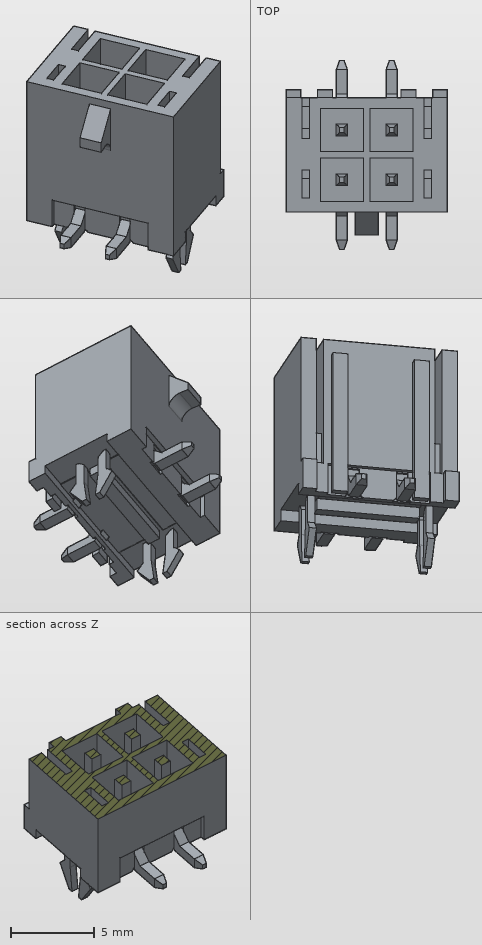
import cadquery as cq
import math

BODY_WIDTH = 9.7
BODY_DEPTH = 6.9
BODY_HEIGHT = 9.9
FRONT = -BODY_DEPTH / 2
BACK = BODY_DEPTH / 2

PITCH = 3.0
CAVITY_SIZE = 2.6
CAVITY_FLOOR = 3.0
PIN_WIDTH = 0.68
PIN_THICKNESS = 0.71
PIN_TOP = 7.5
PIN_REACH = 5.7
TIP_WIDTH = 0.28
TIP_THICKNESS = 0.33
TIP_LENGTH = 0.57
UPPER_BEND = 3.67
LOWER_BEND = 3.18

RECESS_WIDTH = 6.34
RECESS_HEIGHT = 1.9
RECESS_DEPTH = 0.31
CHANNEL_HEIGHT = 1.81
CHANNEL_DEPTH = 0.16
CHANNEL_CHAMFER = 0.2
CHANNEL_WIDTH = 0.71

FRONT_FOOT_INNER = -1.72
REAR_FOOT_INNER = 2.75
NOTCH_HEIGHT = 0.71
PAD_DROP = 0.08
PAD_FRONT_END = -0.43
PAD_REAR_END = 0.8
RIB_FRONT = -0.2
RIB_BACK = 0.62

TAB_THICKNESS = 0.48
OUTER_TAB_WIDTH = 0.88
OUTER_TAB_HEIGHT = 1.9
INNER_TAB_WIDTH = 0.92
INNER_TAB_CENTER = 2.52
INNER_TAB_HEIGHT = 8.9

LATCH_WIDTH = 1.4
LATCH_TOP = 9.4
LATCH_REACH = 1.38
LATCH_LIP_TOP = 7.77
LATCH_LIP_BOTTOM = 7.1
LATCH_RADIUS = 0.75
LATCH_ARC_BOTTOM = 6.45

CLIP_CENTER_X = 3.67
CLIP_CENTER_Y = 0.08
CLIP_THICKNESS = 0.45
CLIP_BOTTOM = -3.1
INNER_TAPER_START = -1.3
BARB_START = -1.1
BARB_POINT = -1.62
LEG_OUTER = 1.09
LEG_INNER = 0.51
LEG_BARB = 1.53
LEG_TIP_OUTER = 0.635
LEG_TIP_INNER = 0.32
LEG_CHAMFER_BOTTOM = 0.33
SLOT_FLOOR = 1.9
POST_TOP = 4.0
FRONT_SLOT = (-2.61, -0.9)
FRONT_POST = (-2.61, -1.42)
REAR_SLOT = (1.0, BACK)
REAR_POST = (1.59, 2.91)


def block(x_range, y_range, z_range):
    """Box given by its limits along X, Y and Z."""
    (x0, x1), (y0, y1), (z0, z1) = x_range, y_range, z_range
    return cq.Workplane("XY").box(x1 - x0, y1 - y0, z1 - z0, centered=False).translate((x0, y0, z0))


def around(center, width):
    """Limits of a stretch of the given width around a center."""
    return (center - width / 2, center + width / 2)


def side_profile(points, center_x, width):
    """Closed (y, z) outline extruded along X around center_x."""
    outline = cq.Workplane("YZ").polyline(points).close()
    return outline.extrude(width / 2, both=True).translate((center_x, 0, 0))


def make_housing():
    full_width = around(0, BODY_WIDTH)
    housing = block(full_width, (FRONT, BACK), (0, BODY_HEIGHT))
    for side in (-1, 1):
        outer_center = side * (BODY_WIDTH - OUTER_TAB_WIDTH) / 2
        tabs = (
            (outer_center, OUTER_TAB_WIDTH, OUTER_TAB_HEIGHT),
            (side * INNER_TAB_CENTER, INNER_TAB_WIDTH, INNER_TAB_HEIGHT),
        )
        for center, width, height in tabs:
            tab = block(around(center, width), (BACK, BACK + TAB_THICKNESS), (0, height))
            housing = housing.union(tab)

    housing = housing.cut(block(full_width, (FRONT_FOOT_INNER, REAR_FOOT_INNER), (0, NOTCH_HEIGHT)))
    pad_heights = (NOTCH_HEIGHT - PAD_DROP, NOTCH_HEIGHT)
    recess_width = around(0, RECESS_WIDTH)
    housing = housing.union(block(recess_width, (FRONT_FOOT_INNER, PAD_FRONT_END), pad_heights))
    housing = housing.union(block(recess_width, (PAD_REAR_END, REAR_FOOT_INNER), pad_heights))
    return housing.union(block(recess_width, (RIB_FRONT, RIB_BACK), (0, NOTCH_HEIGHT)))


def make_recess():
    """Front recess with one channel, widened at its foot, for each solder tail."""
    wall = FRONT + RECESS_DEPTH
    recess = block(around(0, RECESS_WIDTH), (FRONT, wall), (0, RECESS_HEIGHT))
    half = CHANNEL_WIDTH / 2
    for x in (-PITCH / 2, PITCH / 2):
        channel = (
            cq.Workplane("XZ", origin=(x, wall, 0))
            .moveTo(-half - CHANNEL_CHAMFER, 0)
            .lineTo(-half, CHANNEL_CHAMFER)
            .lineTo(-half, CHANNEL_HEIGHT)
            .lineTo(half, CHANNEL_HEIGHT)
            .lineTo(half, CHANNEL_CHAMFER)
            .lineTo(half + CHANNEL_CHAMFER, 0)
            .close()
            .extrude(-CHANNEL_DEPTH)
        )
        recess = recess.union(channel)
    return recess


def pin_tip(origin, direction):
    """Four-sided taper that ends a contact, starting at origin."""
    return (
        cq.Workplane(cq.Plane(origin=origin, xDir=(1, 0, 0), normal=direction))
        .rect(PIN_WIDTH, PIN_THICKNESS)
        .workplane(offset=TIP_LENGTH)
        .rect(TIP_WIDTH, TIP_THICKNESS)
        .loft()
    )


def make_pin(x):
    """Front contact: tail along -Y, a 45 degree rise, then a vertical post."""
    post_front = -(PITCH + PIN_THICKNESS) / 2
    post_back = post_front + PIN_THICKNESS
    tail_end = -PIN_REACH + TIP_LENGTH
    post_end = PIN_TOP - TIP_LENGTH
    points = [
        (tail_end, 0),
        (-LOWER_BEND, 0),
        (post_back, post_back + LOWER_BEND),
        (post_back, post_end),
        (post_front, post_end),
        (post_front, PIN_THICKNESS + post_front + UPPER_BEND),
        (-UPPER_BEND, PIN_THICKNESS),
        (tail_end, PIN_THICKNESS),
    ]
    pin = side_profile(points, x, PIN_WIDTH)
    pin = pin.union(pin_tip((x, tail_end, PIN_THICKNESS / 2), (0, -1, 0)))
    return pin.union(pin_tip((x, -PITCH / 2, post_end), (0, 0, 1)))


def make_latch():
    lip = FRONT - LATCH_REACH
    arc_center = FRONT - LATCH_RADIUS
    arc_top = LATCH_ARC_BOTTOM + LATCH_RADIUS
    diagonal = LATCH_RADIUS * math.sqrt(0.5)
    return (
        cq.Workplane("YZ")
        .moveTo(FRONT, LATCH_TOP)
        .lineTo(lip, LATCH_LIP_TOP)
        .lineTo(lip, LATCH_LIP_BOTTOM)
        .lineTo(arc_center, arc_top)
        .threePointArc((arc_center + diagonal, LATCH_ARC_BOTTOM + diagonal), (FRONT, LATCH_ARC_BOTTOM))
        .close()
        .extrude(LATCH_WIDTH / 2, both=True)
    )


def make_clip_leg(x, side):
    """Barbed leg on the +Y (side 1) or -Y (side -1) half of a clip, rooted in the housing."""
    chamfer_top = LEG_INNER + NOTCH_HEIGHT - LEG_CHAMFER_BOTTOM
    outline = [
        (LEG_OUTER, SLOT_FLOOR),
        (LEG_OUTER, BARB_START),
        (LEG_BARB, BARB_POINT),
        (LEG_TIP_OUTER, CLIP_BOTTOM),
        (LEG_TIP_INNER, CLIP_BOTTOM),
        (LEG_INNER, INNER_TAPER_START),
        (LEG_INNER, LEG_CHAMFER_BOTTOM),
        (chamfer_top, NOTCH_HEIGHT),
        (chamfer_top, SLOT_FLOOR),
    ]
    points = [(CLIP_CENTER_Y + side * y, z) for y, z in outline]
    return side_profile(points, x, CLIP_THICKNESS)


body = make_housing()

front_recess = make_recess()
body = body.cut(front_recess).cut(front_recess.mirror("XZ"))

for column in (-PITCH / 2, PITCH / 2):
    for row in (-PITCH / 2, PITCH / 2):
        cavity_x = around(column, CAVITY_SIZE)
        cavity_y = around(row, CAVITY_SIZE)
        body = body.cut(block(cavity_x, cavity_y, (CAVITY_FLOOR, BODY_HEIGHT)))
    front_pin = make_pin(column)
    body = body.union(front_pin).union(front_pin.mirror("XZ"))

for clip_x in (-CLIP_CENTER_X, CLIP_CENTER_X):
    clip_range = around(clip_x, CLIP_THICKNESS)
    for slot, post, leg_side in ((FRONT_SLOT, FRONT_POST, -1), (REAR_SLOT, REAR_POST, 1)):
        body = body.cut(block(clip_range, slot, (SLOT_FLOOR, BODY_HEIGHT)))
        body = body.union(block(clip_range, post, (SLOT_FLOOR, POST_TOP)))
        body = body.union(make_clip_leg(clip_x, leg_side))

result = body.union(make_latch())